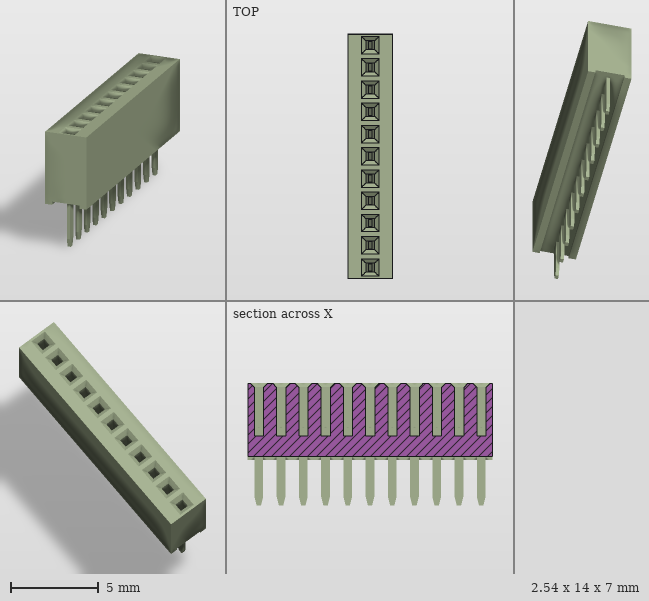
import cadquery as cq

pin_count = 11
length = 13.97
pitch = length / pin_count
width = 2.54
body_height = 4.4
foot_width = 0.42
foot_height = 0.2

funnel_size = 0.99
hole_size = 0.5
funnel_depth = 0.25
hole_floor = 1.4

total_height = 7.0
pin_thickness = 0.2
pin_width = 0.5
pin_tip_width = pin_width / 2
pin_taper_length = 0.5
pin_rise = 0.42
contact_width = 0.42

pin_bottom = body_height - total_height
pin_positions = [(0, (i - (pin_count - 1) / 2) * pitch, 0) for i in range(pin_count)]


def make_body():
    """Block standing on two feet that run along its long sides."""
    block = cq.Workplane("XY").box(width, length, body_height, centered=(True, True, False))
    channel = cq.Workplane("XY").box(
        width - 2 * foot_width, length, foot_height, centered=(True, True, False)
    )
    return block.cut(channel)


def make_socket():
    """Solid to remove for one socket, centred on the Z axis."""
    funnel = (
        cq.Workplane("XY", origin=(0, 0, body_height))
        .rect(funnel_size, funnel_size)
        .workplane(offset=-funnel_depth)
        .rect(hole_size, hole_size)
        .loft(ruled=True)
    )
    hole_depth = body_height - funnel_depth - hole_floor
    hole = (
        cq.Workplane("XY", origin=(0, 0, hole_floor))
        .rect(hole_size, hole_size)
        .extrude(hole_depth)
    )
    return funnel.union(hole)


def make_pin():
    """Flat pin with a tapered tip, centred on the Z axis and ending inside the hole."""
    taper_top = pin_bottom + pin_taper_length
    pin_top = hole_floor + pin_rise
    half_outline = (
        cq.Workplane("YZ")
        .moveTo(0, pin_bottom)
        .lineTo(pin_tip_width / 2, pin_bottom)
        .lineTo(pin_width / 2, taper_top)
        .lineTo(pin_width / 2, hole_floor)
        .lineTo(contact_width / 2, hole_floor)
        .lineTo(contact_width / 2, pin_top)
        .lineTo(0, pin_top)
    )
    return half_outline.mirrorY().extrude(pin_thickness / 2, both=True)


result = make_body()
socket = make_socket()
pin = make_pin()
for position in pin_positions:
    result = result.cut(socket.translate(position)).union(pin.translate(position))